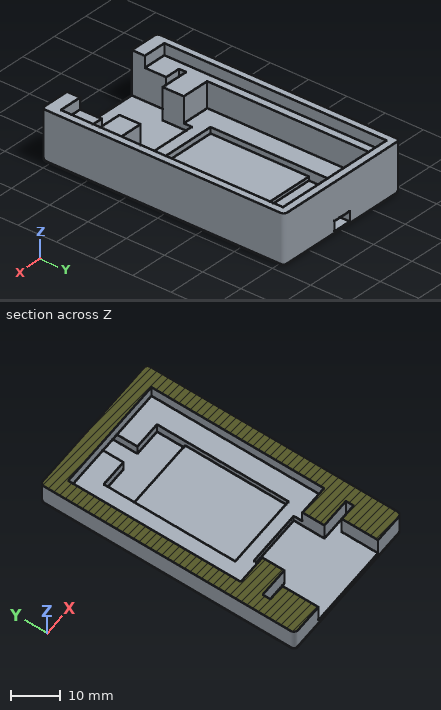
import cadquery as cq

WIDTH = 36.8
LENGTH = 63.55
HEIGHT = 12.8
EDGE_RADIUS = 1.0
FRONT = -LENGTH / 2
BACK = LENGTH / 2

DEEP_FLOOR = 1.0
SLOT_FLOOR = 2.0
CAVITY_FLOOR = 3.5
LEDGE_LEVEL = HEIGHT - 2.85

RIM_WALL = 2.0
RIM_FRONT_WALL = 3.5
CAVITY_WIDTH = 28.6
CAVITY_BACK = BACK - 4.2
CAVITY_FRONT = FRONT + 16.45

POCKET_WIDTH = 18.35
POCKET_FRONT = FRONT + 21.55
POCKET_BACK = BACK - 9.3
POCKET_STEP = BACK - 16.3
CHANNEL_WIDTH = 4.8

OPENING_WIDTH = 20.45
NECK_WIDTH = 13.7
NECK_BACK = FRONT + 18.55
GROOVE_FRONT = FRONT + 9.1
GROOVE_BACK = FRONT + 10.9


def cutter(width, y_front, y_back, floor):
    """Block centred on X that clears everything from a floor level to the open top."""
    return (
        cq.Workplane("XY")
        .box(width, y_back - y_front, HEIGHT - floor, centered=(True, False, False))
        .translate((0, y_front, floor))
    )


tray = cq.Workplane("XY").box(WIDTH, LENGTH, HEIGHT, centered=(True, True, False))
tray = tray.edges("|Z or <Z").fillet(EDGE_RADIUS)

tray = tray.cut(cutter(WIDTH - 2 * RIM_WALL, FRONT + RIM_FRONT_WALL, BACK - RIM_WALL, LEDGE_LEVEL))
tray = tray.cut(cutter(CAVITY_WIDTH, CAVITY_FRONT, CAVITY_BACK, CAVITY_FLOOR))

tray = tray.cut(cutter(POCKET_WIDTH, POCKET_FRONT, POCKET_BACK, SLOT_FLOOR))
tray = tray.cut(cutter(POCKET_WIDTH, POCKET_STEP, POCKET_BACK, DEEP_FLOOR))

channel = (
    cq.Workplane("XY")
    .box(CHANNEL_WIDTH, BACK - POCKET_BACK, CAVITY_FLOOR - DEEP_FLOOR, centered=(True, False, False))
    .translate((0, POCKET_BACK, DEEP_FLOOR))
)
tray = tray.cut(channel)

tray = tray.cut(cutter(OPENING_WIDTH, FRONT, GROOVE_BACK, SLOT_FLOOR))
tray = tray.cut(cutter(CAVITY_WIDTH, GROOVE_FRONT, GROOVE_BACK, SLOT_FLOOR))
tray = tray.cut(cutter(NECK_WIDTH, GROOVE_BACK, NECK_BACK, SLOT_FLOOR))

result = tray